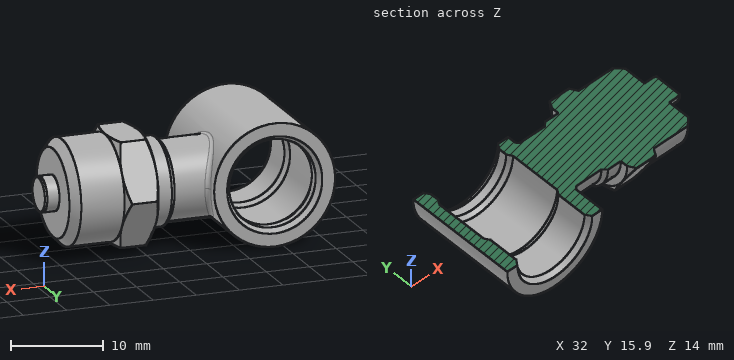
import cadquery as cq
import math


ring_diameter = 14.0
ring_length = 15.0
ring_back_y = 6.0
ring_front_y = ring_back_y - ring_length
bore_diameter = 10.0
bore_chamfer = 0.5
bore_chamfer_length = 0.7

recess_half_width = 4.15
recess_depth = 0.4
recess_taper_length = 0.65

stem_diameter = 9.0
fillet_radius = 0.5
collar_diameter = 10.0
collar_start_x = 11.0
collar_chamfer = (collar_diameter - stem_diameter) / 2
hex_across_flats = 12.0
hex_start_x = 13.4
hex_width = 3.95
hex_end_x = hex_start_x + hex_width
hex_chamfer_angle = 30.0
nut_diameter = hex_across_flats
nut_length = 6.0
nut_end_x = hex_end_x + nut_length
nut_chamfer = 1.0
spigot_diameter = 4.0
spigot_end_x = 25.0
spigot_chamfer = 0.25
spigot_tip_step = 0.1


def turned_about_x(points):
    """Solid of revolution about X from (x, radius) points."""
    return cq.Workplane("XY").polyline(points).close().revolve(360, (0, 0, 0), (1, 0, 0))


def turned_about_y(points):
    """Solid of revolution about Y from (radius, y) points."""
    return cq.Workplane("XY").polyline(points).close().revolve(360, (0, 0, 0), (0, 1, 0))


def make_ring_with_stem():
    """Ring blank joined to the plain stem by a fillet."""
    ring_radius = ring_diameter / 2
    ring = turned_about_y([
        (0, ring_front_y),
        (ring_radius, ring_front_y),
        (ring_radius, ring_back_y),
        (0, ring_back_y),
    ])
    stem = cq.Workplane("YZ").circle(stem_diameter / 2).extrude(collar_start_x)
    body = ring.union(stem)
    near_joint = cq.selectors.BoxSelector(
        (ring_radius / 2, -stem_diameter / 2, -stem_diameter / 2),
        (ring_radius + fillet_radius, stem_diameter / 2, stem_diameter / 2),
    )
    return body.edges(near_joint).fillet(fillet_radius)


def make_bore():
    """Through bore with chamfered mouths and the recess, as a cutting body."""
    bore_radius = bore_diameter / 2
    mouth_radius = bore_radius + bore_chamfer
    recess_radius = bore_radius + recess_depth
    recess_floor_half_width = recess_half_width - recess_taper_length
    return turned_about_y([
        (0, ring_front_y),
        (mouth_radius, ring_front_y),
        (bore_radius, ring_front_y + bore_chamfer_length),
        (bore_radius, -recess_half_width),
        (recess_radius, -recess_floor_half_width),
        (recess_radius, recess_floor_half_width),
        (bore_radius, recess_half_width),
        (bore_radius, ring_back_y - bore_chamfer_length),
        (mouth_radius, ring_back_y),
        (0, ring_back_y),
    ])


def make_collar():
    """Collar between the stem and the hex, chamfered toward the ring."""
    collar_radius = collar_diameter / 2
    return turned_about_x([
        (collar_start_x, 0),
        (collar_start_x, stem_diameter / 2),
        (collar_start_x + collar_chamfer, collar_radius),
        (hex_start_x, collar_radius),
        (hex_start_x, 0),
    ])


def make_hex():
    """Hexagon with flats facing +Z and -Z and its corners turned off at both ends."""
    flat_radius = hex_across_flats / 2
    corner_radius = flat_radius / math.cos(math.pi / 6)
    corner_setback = (corner_radius - flat_radius) * math.tan(math.radians(hex_chamfer_angle))
    prism = cq.Workplane("YZ").polygon(6, 2 * corner_radius).extrude(hex_width)
    envelope = turned_about_x([
        (hex_start_x, 0),
        (hex_start_x, flat_radius),
        (hex_start_x + corner_setback, corner_radius),
        (hex_end_x - corner_setback, corner_radius),
        (hex_end_x, flat_radius),
        (hex_end_x, 0),
    ])
    return prism.translate((hex_start_x, 0, 0)).intersect(envelope)


def make_nut_and_spigot():
    """Round nut behind the hex and the thin spigot at the outer end."""
    nut_radius = nut_diameter / 2
    spigot_radius = spigot_diameter / 2
    return turned_about_x([
        (hex_end_x, 0),
        (hex_end_x, nut_radius),
        (nut_end_x - nut_chamfer, nut_radius),
        (nut_end_x, nut_radius - nut_chamfer),
        (nut_end_x, spigot_radius),
        (spigot_end_x - spigot_chamfer, spigot_radius),
        (spigot_end_x, spigot_radius - spigot_tip_step),
        (spigot_end_x, 0),
    ])


result = (
    make_ring_with_stem()
    .union(make_collar())
    .union(make_hex())
    .union(make_nut_and_spigot())
    .cut(make_bore())
)